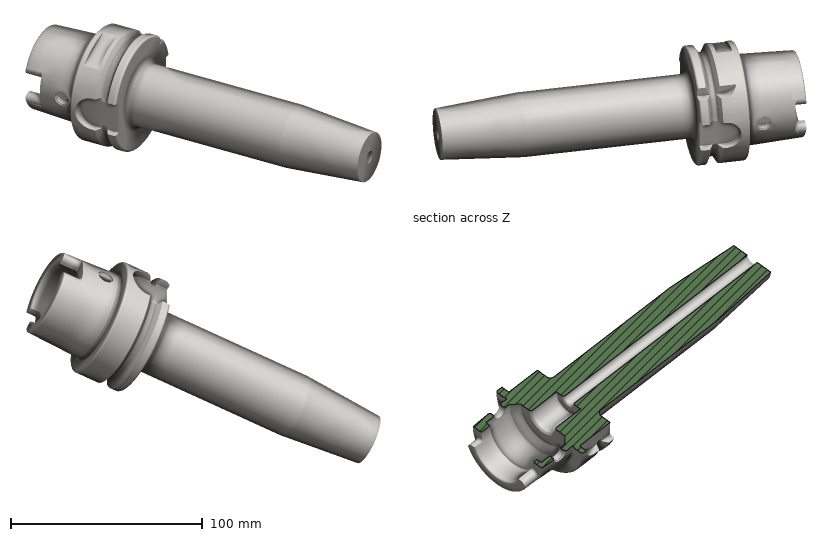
import cadquery as cq
import math


total_length = 192.0
flange_start = 31.9
flange_end = 58.0
nose_start = 148.0

shank_front_diameter = 45.7
shank_diameter = 48.2
flange_diameter = 63.0
body_diameter = 34.0
nose_diameter = 27.0
shank_fillet = 1.0
flange_fillet = 1.2
body_fillet = 2.9

relief_length = 1.7
relief_depth = 0.2
relief_ramp = 0.5
face_relief_diameter = 51.0
face_relief_depth = 0.4
face_relief_slope = 0.8

groove_center = 49.7
groove_diameter = 55.0
groove_bottom_width = 2.7
groove_half_angle = math.radians(30)
groove_fillet = 0.5

bore_diameter = 34.0
bore_mouth_fillet = 1.0
clamp_start = 12.9
clamp_diameter = 40.0
bore_depth = 34.5
bore_end_diameter = 31.9
socket_mouth_diameter = 19.0
socket_diameter = 17.0
socket_depth = 19.2
coolant_mouth_diameter = 8.5
coolant_diameter = 7.0

shank_slot_width = 12.0
near_slot_depth = 10.0
far_slot_depth = 6.1
slot_lip_radius = 3.0
slot_end_fillet = 1.3

cross_hole_diameter = 7.5
cross_hole_x = 23.0
cross_hole_top = 0.4
cross_recess_diameter = 8.5
cross_recess_floor = 22.8

near_keyway_width = 19.0
far_keyway_width = 16.0
keyway_center = 44.5
keyway_floor = 26.5
keyway_floor_fillet = 0.5

notch_y = 20.0
notch_z = 19.5
notch_end_radius = 7.9

label_length = 8.5
label_x = 39.5
label_chord = 23.2
label_angle = 22.0


def make_body():
    """Outer profile turned about X."""
    shank_r = shank_diameter / 2
    flange_r = flange_diameter / 2
    body_r = body_diameter / 2
    front_r = shank_front_diameter / 2
    relief_r = shank_r - relief_depth
    groove_r = groove_diameter / 2
    groove_bottom = groove_bottom_width / 2
    groove_top = groove_bottom + (flange_r - groove_r) * math.tan(groove_half_angle)
    fillet_tangent = groove_fillet * math.tan(math.radians(45) - groove_half_angle / 2)
    wall_run = fillet_tangent * math.sin(groove_half_angle)
    wall_rise = fillet_tangent * math.cos(groove_half_angle)
    relief_start = flange_start - relief_length
    face_relief_r = face_relief_diameter / 2
    relief_floor = flange_start + face_relief_depth
    return (
        cq.Workplane("XY")
        .moveTo(0, 0)
        .lineTo(0, front_r - shank_fillet)
        .radiusArc((shank_fillet, front_r), shank_fillet)
        .lineTo(relief_start, shank_r)
        .lineTo(relief_start + relief_ramp, relief_r)
        .lineTo(flange_start, relief_r)
        .lineTo(relief_floor, shank_r)
        .lineTo(relief_floor, face_relief_r - face_relief_slope)
        .lineTo(flange_start, face_relief_r)
        .lineTo(flange_start, flange_r - flange_fillet)
        .radiusArc((flange_start + flange_fillet, flange_r), flange_fillet)
        .lineTo(groove_center - groove_top, flange_r)
        .lineTo(groove_center - groove_bottom - wall_run, groove_r + wall_rise)
        .radiusArc((groove_center - groove_bottom + fillet_tangent, groove_r), -groove_fillet)
        .lineTo(groove_center + groove_bottom - fillet_tangent, groove_r)
        .radiusArc((groove_center + groove_bottom + wall_run, groove_r + wall_rise), -groove_fillet)
        .lineTo(groove_center + groove_top, flange_r)
        .lineTo(flange_end - flange_fillet, flange_r)
        .radiusArc((flange_end, flange_r - flange_fillet), flange_fillet)
        .lineTo(flange_end, body_r + body_fillet)
        .radiusArc((flange_end + body_fillet, body_r), -body_fillet)
        .lineTo(nose_start, body_r)
        .lineTo(total_length, nose_diameter / 2)
        .lineTo(total_length, 0)
        .close()
        .revolve(360, (0, 0, 0), (1, 0, 0))
    )


def make_bore():
    """Stepped bore: shank bore, wider clamping recess, socket and coolant hole."""
    bore_r = bore_diameter / 2
    clamp_r = clamp_diameter / 2
    bore_end_r = bore_end_diameter / 2
    socket_r = socket_diameter / 2
    socket_mouth_r = socket_mouth_diameter / 2
    coolant_r = coolant_diameter / 2
    coolant_mouth_r = coolant_mouth_diameter / 2
    socket_end = bore_depth + socket_depth
    return (
        cq.Workplane("XY")
        .moveTo(0, 0)
        .lineTo(0, bore_r + bore_mouth_fillet)
        .radiusArc((bore_mouth_fillet, bore_r), -bore_mouth_fillet)
        .lineTo(clamp_start, bore_r)
        .lineTo(clamp_start, clamp_r)
        .lineTo(bore_depth - (clamp_r - bore_end_r), clamp_r)
        .lineTo(bore_depth, bore_end_r)
        .lineTo(bore_depth, socket_mouth_r)
        .lineTo(bore_depth + socket_mouth_r - socket_r, socket_r)
        .lineTo(socket_end, socket_r)
        .lineTo(socket_end, coolant_mouth_r)
        .lineTo(socket_end + coolant_mouth_r - coolant_r, coolant_r)
        .lineTo(total_length, coolant_r)
        .lineTo(total_length, 0)
        .close()
        .revolve(360, (0, 0, 0), (1, 0, 0))
    )


def shank_slot(side, depth):
    """Slot across the shank wall whose lips round over into the shank surface."""
    half = shank_slot_width / 2
    front_r = shank_front_diameter / 2
    outer = shank_diameter / 2
    arc_z = half + slot_lip_radius
    arc_reach = front_r - slot_lip_radius
    arc_y = math.sqrt(arc_reach**2 - arc_z**2)
    lip_y = arc_y * front_r / arc_reach
    lip_z = arc_z * front_r / arc_reach
    profile = (
        cq.Workplane("YZ")
        .moveTo(0, -half)
        .lineTo(side * arc_y, -half)
        .radiusArc((side * lip_y, -lip_z), side * slot_lip_radius)
        .lineTo(side * outer, -lip_z)
        .lineTo(side * outer, lip_z)
        .lineTo(side * lip_y, lip_z)
        .radiusArc((side * arc_y, half), side * slot_lip_radius)
        .lineTo(0, half)
        .close()
    )
    return profile.extrude(depth).faces(">X").edges().fillet(slot_end_fillet)


def keyway(side, width):
    """Round-ended slot in the flange rim, open towards the body, with a filleted floor edge."""
    radius = width / 2
    overrun = flange_end - keyway_center + keyway_floor_fillet
    depth = flange_diameter / 2 - keyway_floor
    floor_face = ">Y" if side < 0 else "<Y"
    outline = (
        cq.Workplane("XZ", origin=(keyway_center, side * keyway_floor, 0))
        .moveTo(overrun, -radius)
        .lineTo(overrun, radius)
        .lineTo(0, radius)
        .threePointArc((-radius, 0), (0, -radius))
        .close()
    )
    return outline.extrude(-side * depth).faces(floor_face).edges().fillet(keyway_floor_fillet)


def corner_notch():
    """Square-cornered cut in the flange rim with one rounded end, open towards the body."""
    size = flange_diameter / 2
    block = cq.Workplane("XY").box(flange_end - keyway_center, size, size, centered=False)
    block = block.translate((keyway_center, notch_y, notch_z))
    round_end = (
        cq.Workplane("XZ", origin=(keyway_center, notch_y, notch_z + notch_end_radius))
        .circle(notch_end_radius)
        .extrude(-size)
    )
    return block.union(round_end)


def label_pocket():
    """Flat cut as a chord across the flange rim, turned about X."""
    radius = flange_diameter / 2
    floor = math.sqrt(radius**2 - (label_chord / 2) ** 2)
    return (
        cq.Workplane("XY")
        .box(label_length, 2 * label_chord, radius, centered=(True, True, False))
        .translate((label_x, 0, floor))
        .rotate((0, 0, 0), (1, 0, 0), label_angle)
    )


def cross_hole():
    """Hole with a flat top just above the axis, with a shallow round recess at each mouth."""
    outer = shank_diameter / 2
    radius = cross_hole_diameter / 2
    half_top = math.sqrt(radius**2 - cross_hole_top**2)
    hole = (
        cq.Workplane("XZ", origin=(cross_hole_x, 0, 0))
        .moveTo(-half_top, cross_hole_top)
        .threePointArc((0, -radius), (half_top, cross_hole_top))
        .close()
        .extrude(outer, both=True)
    )
    for side in (-1, 1):
        recess = (
            cq.Workplane("XZ", origin=(cross_hole_x, side * cross_recess_floor, 0))
            .circle(cross_recess_diameter / 2)
            .extrude(-side * (outer - cross_recess_floor))
        )
        hole = hole.union(recess)
    return hole


result = make_body().cut(make_bore())
result = result.cut(shank_slot(-1, near_slot_depth)).cut(shank_slot(1, far_slot_depth))
result = result.cut(keyway(-1, near_keyway_width)).cut(keyway(1, far_keyway_width))
result = result.cut(corner_notch()).cut(label_pocket()).cut(cross_hole())